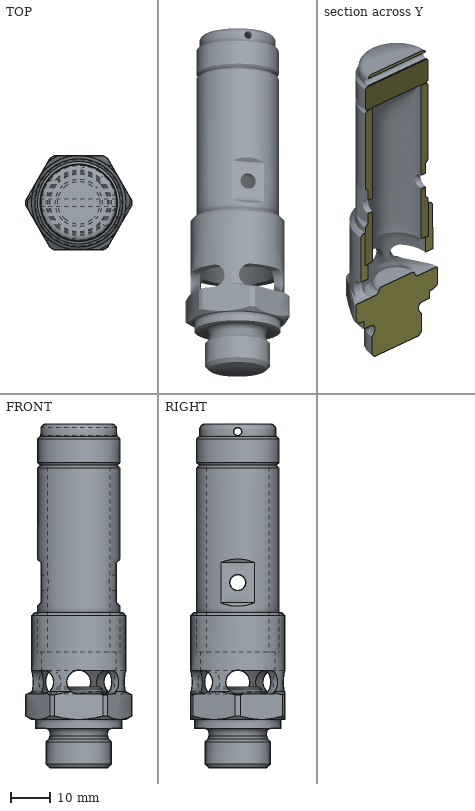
import cadquery as cq
import math


thread_radius = 8.33
thread_end_chamfer = 1.0
thread_top = 6.6
thread_top_chamfer = 0.7
relief_radius = 7.35
relief_bottom = 8.1
relief_fillet = 1.1
collar_bottom = 10.0

collar_radius = 11.0
hex_sides = 6
hex_bottom = 12.3
hex_top = 19.4
hex_flats = 24.0
hex_corner_radius = 13.5
hex_chamfer_angle = 30.0

sleeve_radius = hex_flats / 2
sleeve_top = 39.5
sleeve_chamfer = 0.8
sleeve_bore_radius = 9.5

slot_count = 4
slot_width = 6.0
slot_center = 21.8
slot_arc = 43.0
slot_floor = slot_center - slot_width / 2
slot_top = slot_center + slot_width / 2
seat_top = 20.6
seat_top_radius = 5.4
seat_rim_radius = 6.0
seat_moat_fillet = 1.1

bonnet_radius = 10.5
bonnet_bore_radius = 8.0
bonnet_bottom = 29.5
bonnet_top = 77.0
bonnet_chamfer = 0.8
flat_distance = 9.6
flat_bottom = 42.0
flat_top = 52.2
vent_diameter = 4.0
vent_height = 47.1

ring_top = 84.3
ring_chamfer = 0.65

cap_radius = 9.7
cap_top = 87.5
cap_fillet = 1.5
wire_hole_diameter = 2.0
wire_hole_height = 85.5


def revolve_profile(profile):
    """Turn a closed outline of (radius, height) about the Z axis."""
    return profile.close().revolve(360, (0, 0, 0), (0, 1, 0))


def cylinder(radius, bottom, top):
    return cq.Workplane("XY").workplane(offset=bottom).circle(radius).extrude(top - bottom)


def cross_hole(diameter, height):
    """Bar along X, long enough to drill right through any body."""
    length = 4 * hex_corner_radius
    return cq.Workplane("YZ").center(0, height).circle(diameter / 2).extrude(length / 2, both=True)


def make_spigot():
    arc_shift = relief_fillet * (1 - math.sqrt(0.5))
    profile = (
        cq.Workplane("XZ")
        .lineTo(thread_radius - thread_end_chamfer, 0)
        .lineTo(thread_radius, thread_end_chamfer)
        .lineTo(thread_radius, thread_top)
        .lineTo(thread_radius - thread_top_chamfer, thread_top + thread_top_chamfer)
        .lineTo(relief_radius, relief_bottom)
        .lineTo(relief_radius, collar_bottom - relief_fillet)
        .threePointArc(
            (relief_radius + arc_shift, collar_bottom - arc_shift),
            (relief_radius + relief_fillet, collar_bottom),
        )
        .lineTo(0, collar_bottom)
    )
    return revolve_profile(profile)


def make_hexagon():
    across_corners = hex_flats / math.cos(math.pi / hex_sides)
    prism = (
        cq.Workplane("XY")
        .workplane(offset=hex_bottom)
        .polygon(hex_sides, across_corners)
        .extrude(hex_top - hex_bottom)
    )
    chamfer_drop = (hex_corner_radius - sleeve_radius) * math.tan(math.radians(hex_chamfer_angle))
    turned_blank = revolve_profile(
        cq.Workplane("XZ")
        .moveTo(0, hex_bottom)
        .lineTo(sleeve_radius, hex_bottom)
        .lineTo(hex_corner_radius, hex_bottom + chamfer_drop)
        .lineTo(hex_corner_radius, hex_top - chamfer_drop)
        .lineTo(sleeve_radius, hex_top)
        .lineTo(0, hex_top)
    )
    return prism.intersect(turned_blank)


def make_seat():
    arc_shift = seat_moat_fillet * (1 - math.sqrt(0.5))
    seat_chamfer = seat_rim_radius - seat_top_radius
    profile = (
        cq.Workplane("XZ")
        .moveTo(0, slot_floor)
        .lineTo(seat_rim_radius + seat_moat_fillet, slot_floor)
        .threePointArc(
            (seat_rim_radius + arc_shift, slot_floor + arc_shift),
            (seat_rim_radius, slot_floor + seat_moat_fillet),
        )
        .lineTo(seat_rim_radius, seat_top - seat_chamfer)
        .lineTo(seat_top_radius, seat_top)
        .lineTo(0, seat_top)
    )
    return revolve_profile(profile)


def make_slot(start_angle):
    """Round-ended slot through the sleeve wall, swept around Z from start_angle."""
    outer_radius = 2 * hex_corner_radius
    round_end = (
        cq.Workplane("YZ").center(0, slot_center).circle(slot_width / 2).extrude(outer_radius)
    )
    sector = (
        cq.Workplane("XZ")
        .moveTo(0, slot_floor)
        .lineTo(outer_radius, slot_floor)
        .lineTo(outer_radius, slot_top)
        .lineTo(0, slot_top)
        .close()
        .revolve(slot_arc, (0, 0, 0), (0, 1, 0))
    )
    far_end = round_end.rotate((0, 0, 0), (0, 0, 1), slot_arc)
    slot = sector.union(round_end).union(far_end)
    return slot.rotate((0, 0, 0), (0, 0, 1), start_angle)


def make_housing():
    sleeve = cylinder(sleeve_radius, slot_floor, sleeve_top).faces(">Z").chamfer(sleeve_chamfer)
    body = (
        make_spigot()
        .union(cylinder(collar_radius, collar_bottom, hex_bottom))
        .union(make_hexagon())
        .union(sleeve)
    )
    for index in range(slot_count):
        body = body.cut(make_slot(index * 360 / slot_count))
    sleeve_bore = cylinder(sleeve_bore_radius, slot_floor, bonnet_bottom)
    body = body.cut(sleeve_bore.faces("<Z").edges().fillet(seat_moat_fillet))
    body = body.cut(cylinder(bonnet_radius, bonnet_bottom, sleeve_top))
    return body.union(make_seat())


def make_flat(side):
    """Cutter for one flat with sloped ends; side is +1 or -1 along X."""
    depth = bonnet_radius - flat_distance
    return (
        cq.Workplane("XZ")
        .moveTo(side * flat_distance, flat_bottom)
        .lineTo(side * flat_distance, flat_top)
        .lineTo(side * bonnet_radius, flat_top + depth)
        .lineTo(side * bonnet_radius, flat_bottom - depth)
        .close()
        .extrude(bonnet_radius, both=True)
    )


def make_bonnet():
    body = cylinder(bonnet_radius, bonnet_bottom, bonnet_top).faces(">Z").chamfer(bonnet_chamfer)
    for side in (-1, 1):
        body = body.cut(make_flat(side))
    body = body.cut(cylinder(bonnet_bore_radius, bonnet_bottom, bonnet_top))
    return body.cut(cross_hole(vent_diameter, vent_height))


def make_ring():
    return cylinder(bonnet_radius, bonnet_top, ring_top).faces("<Z or >Z").chamfer(ring_chamfer)


def make_cap():
    body = cylinder(cap_radius, ring_top, cap_top).faces(">Z").edges().fillet(cap_fillet)
    return body.cut(cross_hole(wire_hole_diameter, wire_hole_height))


housing = make_housing()
bonnet = make_bonnet()
ring = make_ring()
cap = make_cap()

result = cq.Compound.makeCompound([housing.val(), bonnet.val(), ring.val(), cap.val()])